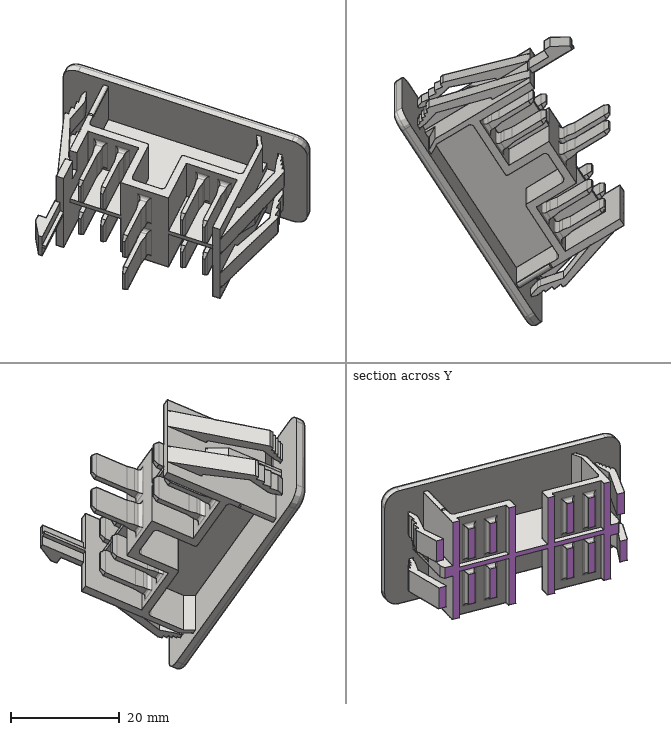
import cadquery as cq


PLATE_WIDTH = 48.51
PLATE_HEIGHT = 24.26
PLATE_THICKNESS = 2.1
PLATE_CORNER_RADIUS = 3.0
PLATE_EDGE_RADIUS = 0.9
OVERALL_DEPTH = 33.53
EMBED = 0.3

BODY_HALF_WIDTH = 16.3
BODY_HEIGHT = 20.95
WALL = 1.48
SIDE_WALL_DEPTH = 22.8
STEP_DEPTH = 10.96
TOWER_HALF_WIDTH = 4.75
TOWER_DEPTH = 19.67
POCKET_HALF_WIDTH = BODY_HALF_WIDTH - 1.02
POCKET_DEPTH = STEP_DEPTH - WALL
POCKET_RADIUS = 0.75
POCKET_LIP_RADIUS = 0.37
WEB_THICKNESS = 1.02
WEB_DEPTH = TOWER_DEPTH

JOG_SHIFT = 1.1
JOG_OUTER_START = 0.3
JOG_OUTER_END = 2.15
JOG_INNER_END = 1.97

NOTCH_START = 16.35
NOTCH_LENGTH = 2.05
NOTCH_FLOOR = 5.13

ARM_BOTTOM = 2.85
ARM_TOP = 7.41
ARM_REACH = 21.25
ARM_ROOT_RADIUS = 0.25

GUIDE_REACH = 18.4
GUIDE_DEPTH = 11.1
GUIDE_END_DEPTH = 14.75
GUIDE_HALF_HEIGHT = 1.26
GUIDE_END_HALF_HEIGHT = 1.15
CRUSH_WIDTH = 1.05
CRUSH_RISE = 0.14
CRUSH_END_SLOPE = 0.3
CRUSH_EDGE_LENGTH = 7.35
CRUSH_SIDE_LENGTH = 6.3
CRUSH_EDGE_X = BODY_HALF_WIDTH - CRUSH_WIDTH / 2

HOOK_DEPTH = OVERALL_DEPTH - PLATE_THICKNESS
HOOK_HALF_HEIGHT = ARM_BOTTOM
HOOK_OFFSET = 0.3
HOOK_THICKNESS = 0.75
HOOK_BARB_REACH = 18.15
HOOK_BARB_DEPTH = 27.0
HOOK_BARB_LAND = 1.3
HOOK_SPINE_HEIGHT = 0.74

BLADE_X = (-12.34, -7.93, 0.0, 7.93, 12.34)
BLADE_Z = 4.87
BLADE_HEIGHT = 6.5
BLADE_LENGTH = 10.15
BLADE_THICKNESS = 0.88
BLADE_NECK_THICKNESS = 1.4
BLADE_NECK_LENGTH = 1.4
BLADE_TAPER_END = 2.9
BLADE_TIP_CHAMFER = 0.9
BLADE_TIP_THICKNESS = 0.48
BLADE_FOOT_RADIUS = 0.7
FOOT_CLEARANCE = 0.01


def box(x0, x1, depth0, depth1, z0, z1):
    """Block given by its X, depth and Z limits."""
    size = (x1 - x0, depth1 - depth0, z1 - z0)
    return cq.Workplane("XY").box(*size, centered=False).translate((x0, -depth1, z0))


def prism(points, z0, z1, side=1):
    """Extrude an outline of (distance from centre, depth) points on one side of the part."""
    outline = [(side * x, -depth) for x, depth in points]
    return cq.Workplane("XY").workplane(offset=z0).polyline(outline).close().extrude(z1 - z0)


def round_upright(solid, x, depth, radius):
    """Fillet the edges parallel to Z that pass through one (X, depth) location."""
    reach = 0.05
    near = cq.selectors.BoxSelector(
        (x - reach, -depth - reach, -PLATE_HEIGHT), (x + reach, -depth + reach, PLATE_HEIGHT)
    )
    return solid.edges("|Z").edges(near).fillet(radius)


def make_plate():
    plate = box(-PLATE_WIDTH / 2, PLATE_WIDTH / 2, -PLATE_THICKNESS, 0, -PLATE_HEIGHT / 2, PLATE_HEIGHT / 2)
    plate = plate.edges("|Y").fillet(PLATE_CORNER_RADIUS)
    return plate.faces(">Y").edges().fillet(PLATE_EDGE_RADIUS)


def make_pocket():
    """Stepped hollow between the plate and the terminal walls."""
    tower_x = TOWER_HALF_WIDTH - WALL
    tower_depth = TOWER_DEPTH - WALL
    half = [
        (tower_x, tower_depth),
        (tower_x, POCKET_DEPTH),
        (POCKET_HALF_WIDTH, POCKET_DEPTH),
        (POCKET_HALF_WIDTH, 0),
    ]
    outline = half + [(-x, depth) for x, depth in reversed(half)]
    pocket = prism(outline, -BODY_HEIGHT / 2, BODY_HEIGHT / 2)
    for side in (-1, 1):
        pocket = round_upright(pocket, side * tower_x, tower_depth, POCKET_RADIUS)
        pocket = round_upright(pocket, side * tower_x, POCKET_DEPTH, POCKET_LIP_RADIUS)
        pocket = round_upright(pocket, side * POCKET_HALF_WIDTH, POCKET_DEPTH, POCKET_RADIUS)
    return pocket


def make_housing():
    z = BODY_HEIGHT / 2
    housing = box(-BODY_HALF_WIDTH, BODY_HALF_WIDTH, -EMBED, STEP_DEPTH, -z, z)
    housing = housing.union(box(-TOWER_HALF_WIDTH, TOWER_HALF_WIDTH, 0, TOWER_DEPTH, -z, z))
    inner_x = BODY_HALF_WIDTH - WALL
    housing = housing.union(box(-BODY_HALF_WIDTH, -inner_x, 0, SIDE_WALL_DEPTH, -z, z))
    housing = housing.union(box(inner_x, BODY_HALF_WIDTH, 0, SIDE_WALL_DEPTH, -z, z))
    housing = housing.cut(make_pocket())
    web_x = POCKET_HALF_WIDTH + EMBED
    housing = housing.union(box(-web_x, web_x, -EMBED, WEB_DEPTH, -WEB_THICKNESS / 2, WEB_THICKNESS / 2))
    for side in (-1, 1):
        housing = add_jog(housing, side)
    return housing


def add_jog(housing, side):
    """Shift the root of one side wall inwards, on the upper half for +X and the lower half for -X."""
    top = BODY_HEIGHT / 2
    shifted_outside = BODY_HALF_WIDTH - JOG_SHIFT
    shifted_inside = POCKET_HALF_WIDTH - JOG_SHIFT
    outside = [
        (BODY_HALF_WIDTH, 0),
        (shifted_outside, 0),
        (shifted_outside, JOG_OUTER_START),
        (BODY_HALF_WIDTH, JOG_OUTER_END),
    ]
    inside = [
        (POCKET_HALF_WIDTH + EMBED, -EMBED),
        (shifted_inside, -EMBED),
        (shifted_inside, 0),
        (POCKET_HALF_WIDTH, JOG_INNER_END),
        (POCKET_HALF_WIDTH + EMBED, JOG_INNER_END),
    ]
    inside_z0, inside_z1 = sorted((0, side * top))
    outside_z0, outside_z1 = sorted((side * ARM_BOTTOM, side * top))
    housing = housing.union(prism(inside, inside_z0, inside_z1, side))
    return housing.cut(prism(outside, outside_z0, outside_z1, side))


def make_notch():
    """Cutter for the notch through the -X wall."""
    inner_x = BODY_HALF_WIDTH - WALL
    notch_end = NOTCH_START + NOTCH_LENGTH
    return box(-BODY_HALF_WIDTH, -inner_x, NOTCH_START, notch_end, NOTCH_FLOOR, BODY_HEIGHT / 2)


def make_arm(outer, inner, root_depth, side, upper):
    """Snap arm: outer edge from its tip to the wall end, then back along the inner edge."""
    root_x = BODY_HALF_WIDTH + 2 * ARM_ROOT_RADIUS
    outline = outer + [
        (BODY_HALF_WIDTH, SIDE_WALL_DEPTH),
        (BODY_HALF_WIDTH - EMBED, SIDE_WALL_DEPTH),
        (BODY_HALF_WIDTH - EMBED, root_depth),
        (root_x, root_depth),
    ] + inner
    z0, z1 = (ARM_BOTTOM, ARM_TOP) if upper else (-ARM_TOP, -ARM_BOTTOM)
    arm = prism(outline, z0, z1, side)
    return round_upright(arm, side * root_x, root_depth, ARM_ROOT_RADIUS)


def make_teeth(start, tips, pitch, fall):
    """Saw-tooth outline: each tooth falls inwards over one pitch, then steps out to the next tip."""
    points = [start]
    for tip_x in tips:
        last_tip_x, last_depth = points[-1]
        depth = last_depth + pitch
        points += [(last_tip_x - fall, depth), (tip_x, depth)]
    return points


def make_coarse_arm(side):
    """Arm with tall teeth; it sits above centre on -X and below centre on +X."""
    teeth = make_teeth(start=(20.07, 1.58), tips=(20.29, 20.75, 21.2), pitch=1.605, fall=0.2)
    outer = [(19.75, 0.54)] + teeth + [(ARM_REACH, 7.0)]
    inner = [(19.83, 7.44), (18.86, 3.0), (18.86, 2.4), (19.42, 0.54)]
    return make_arm(outer, inner, root_depth=15.6, side=side, upper=side < 0)


def make_fine_arm(side):
    """Arm with short teeth; it sits below centre on -X and above centre on +X."""
    teeth = make_teeth(start=(19.78, 0.88), tips=(20.2, 20.65, 21.1), pitch=0.775, fall=0.1)
    outer = [(19.44, 0.3), (19.5, 0.88)] + teeth + [(ARM_REACH, 3.95)]
    inner = [(19.67, 4.52), (18.9, 1.76), (18.75, 0.45), (18.47, 0.3)]
    return make_arm(outer, inner, root_depth=14.6, side=side, upper=side > 0)


def make_crush_rib(length):
    """Shallow rounded ridge along Y, rising in +Z from a seat at the origin, with a sloped end."""
    half = CRUSH_WIDTH / 2
    ridge = cq.Workplane("XZ").moveTo(-half, -EMBED).lineTo(-half, 0)
    ridge = ridge.threePointArc((0, CRUSH_RISE), (half, 0)).lineTo(half, -EMBED)
    ridge = ridge.close().extrude(length)
    sloped_end = [
        (0, -EMBED),
        (0, CRUSH_RISE),
        (CRUSH_END_SLOPE - length, CRUSH_RISE),
        (-length, 0),
        (-length, -EMBED),
    ]
    return ridge.intersect(cq.Workplane("YZ").polyline(sloped_end).close().extrude(half, both=True))


def make_guide(side):
    """Tapered rib outside a side wall, with a wedge end and a crush rib along its outer face."""
    inner_x = BODY_HALF_WIDTH - EMBED
    profile = [
        (inner_x, -EMBED),
        (GUIDE_REACH, -EMBED),
        (GUIDE_REACH, GUIDE_DEPTH),
        (BODY_HALF_WIDTH, GUIDE_END_DEPTH),
        (inner_x, GUIDE_END_DEPTH),
    ]
    guide = prism(profile, -GUIDE_HALF_HEIGHT, GUIDE_HALF_HEIGHT, side)
    face = [
        (EMBED, -GUIDE_HALF_HEIGHT),
        (EMBED, GUIDE_HALF_HEIGHT),
        (-GUIDE_END_DEPTH, GUIDE_END_HALF_HEIGHT),
        (-GUIDE_END_DEPTH, -GUIDE_END_HALF_HEIGHT),
    ]
    guide = guide.intersect(cq.Workplane("YZ").polyline(face).close().extrude(PLATE_WIDTH / 2, both=True))
    crush = make_crush_rib(CRUSH_SIDE_LENGTH).rotate((0, 0, 0), (0, 1, 0), side * 90)
    return guide.union(crush.translate((side * GUIDE_REACH, 0, 0)))


def make_edge_crush_ribs():
    """Crush ribs on the top edge of the -X wall and the bottom edge of the +X wall."""
    upper = make_crush_rib(CRUSH_EDGE_LENGTH).translate((-CRUSH_EDGE_X, 0, BODY_HEIGHT / 2))
    lower = upper.rotate((0, 0, 0), (0, 1, 0), 180)
    return upper.union(lower)


def make_hook():
    """Latch behind the -X wall, stiffened by a central spine on its inner face."""
    outer_x = BODY_HALF_WIDTH + HOOK_OFFSET
    inner_x = BODY_HALF_WIDTH - HOOK_THICKNESS
    outline = [
        (inner_x, SIDE_WALL_DEPTH - EMBED),
        (BODY_HALF_WIDTH - EMBED, SIDE_WALL_DEPTH - 2 * EMBED),
        (BODY_HALF_WIDTH, SIDE_WALL_DEPTH - 2 * EMBED),
        (outer_x, SIDE_WALL_DEPTH),
        (outer_x, HOOK_BARB_DEPTH),
        (HOOK_BARB_REACH, HOOK_BARB_DEPTH),
        (HOOK_BARB_REACH, HOOK_BARB_DEPTH + HOOK_BARB_LAND),
        (BODY_HALF_WIDTH, HOOK_DEPTH),
        (inner_x, HOOK_DEPTH),
    ]
    hook = prism(outline, -HOOK_HALF_HEIGHT, HOOK_HALF_HEIGHT, side=-1)
    spine_z = HOOK_SPINE_HEIGHT / 2
    spine = box(-inner_x, WALL - BODY_HALF_WIDTH, SIDE_WALL_DEPTH - EMBED, HOOK_DEPTH, -spine_z, spine_z)
    return hook.union(spine)


def make_blade():
    """Terminal blade along -Y from a seat at the origin, with a filleted foot."""
    neck = BLADE_NECK_THICKNESS / 2
    body = BLADE_THICKNESS / 2
    tip = BLADE_TIP_THICKNESS / 2
    half = [
        (neck, 0),
        (neck, BLADE_NECK_LENGTH),
        (body, BLADE_TAPER_END),
        (body, BLADE_LENGTH - BLADE_TIP_CHAMFER),
        (tip, BLADE_LENGTH),
    ]
    outline = half + [(-x, depth) for x, depth in reversed(half)]
    blade = prism(outline, -BLADE_HEIGHT / 2, BLADE_HEIGHT / 2)
    blade = blade.intersect(
        cq.Workplane("XY")
        .box(2 * BLADE_NECK_THICKNESS, 2 * BLADE_LENGTH, BLADE_HEIGHT)
        .faces("<Y")
        .edges("|X")
        .chamfer(BLADE_TIP_CHAMFER)
    )
    seat_margin = 2 * (BLADE_FOOT_RADIUS + FOOT_CLEARANCE)
    seat_x = (BLADE_NECK_THICKNESS + seat_margin) / 2
    seat_z = (BLADE_HEIGHT + seat_margin) / 2
    blade = blade.union(box(-seat_x, seat_x, -EMBED, 0, -seat_z, seat_z))
    near_x = neck + EMBED
    near_y = EMBED / 2
    near_z = BLADE_HEIGHT / 2 + EMBED
    foot = cq.selectors.BoxSelector((-near_x, -near_y, -near_z), (near_x, near_y, near_z))
    return blade.edges(foot).fillet(BLADE_FOOT_RADIUS)


def make_part():
    part = make_plate().union(make_housing())
    for side in (-1, 1):
        part = part.union(make_coarse_arm(side)).union(make_fine_arm(side)).union(make_guide(side))
    part = part.union(make_edge_crush_ribs()).union(make_hook()).cut(make_notch())
    blade = make_blade()
    for x in BLADE_X:
        seat_depth = TOWER_DEPTH if x == 0 else STEP_DEPTH
        for z in (-BLADE_Z, BLADE_Z):
            part = part.union(blade.translate((x, -seat_depth, z)))
    return part


result = make_part()